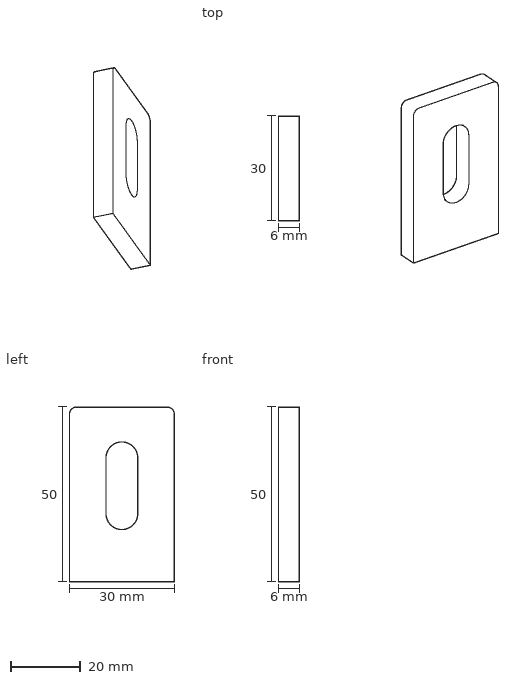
import cadquery as cq

thickness = 6.0
width = 30.0
height = 50.0
top_corner_radius = 2.0

slot_width = 9.0
slot_length = 25.0
slot_top_margin = 10.0
slot_center_z = height - slot_top_margin - slot_length / 2


def make_plate():
    """Upright plate standing on Z = 0 with its two top corners rounded."""
    plate = cq.Workplane("XY").box(thickness, width, height, centered=(True, True, False))
    return plate.faces(">Z").edges("|X").fillet(top_corner_radius)


def make_slot_cutter():
    """Slot-shaped body, as deep as the plate is thick."""
    return (
        cq.Workplane("YZ")
        .center(0, slot_center_z)
        .slot2D(slot_length, slot_width, angle=90)
        .extrude(thickness / 2, both=True)
    )


result = make_plate().cut(make_slot_cutter())